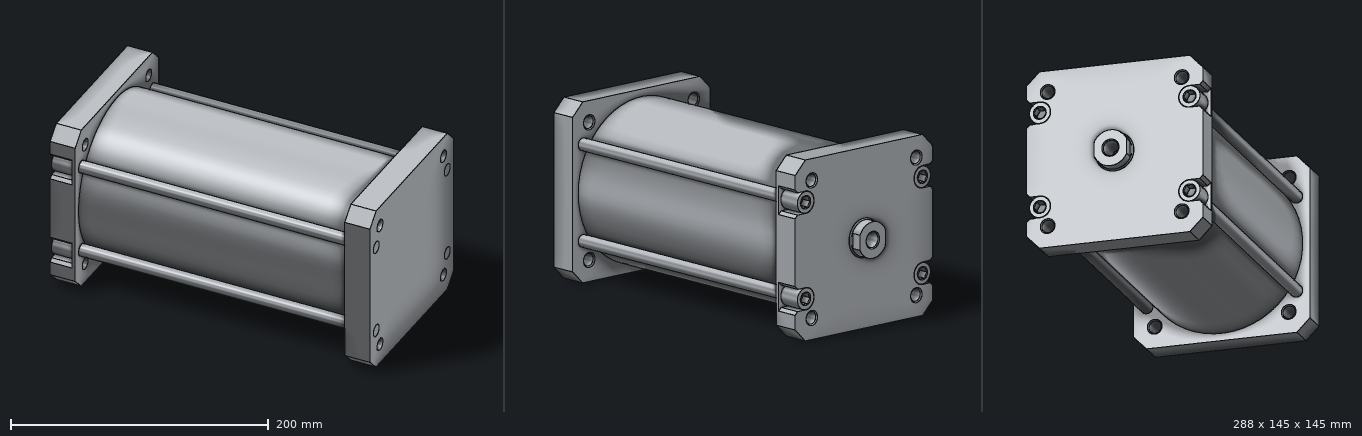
import cadquery as cq
import math

OVERALL_LENGTH = 288.0
ROD_PROTRUSION = 10.0
PLATE_THICKNESS = 22.0
BARREL_LENGTH = OVERALL_LENGTH - ROD_PROTRUSION - 2 * PLATE_THICKNESS
BARREL_START = PLATE_THICKNESS
REAR_PLATE_START = BARREL_START + BARREL_LENGTH
REAR_PLATE_END = REAR_PLATE_START + PLATE_THICKNESS

PLATE_SIDE = 145.0
PLATE_CORNER_CHAMFER = 10.7
MOUNTING_HOLE_SPACING = 110.0
MOUNTING_HOLE_DIAMETER = 10.0
MOUNTING_COUNTERSINK_DIAMETER = 12.0

BARREL_DIAMETER = 133.0

TIE_ROD_SPACING_Y = 123.0
TIE_ROD_SPACING_Z = 77.2
TIE_ROD_DIAMETER = 10.0
HEAD_DIAMETER = 17.3
SLOT_WIDTH = 18.0
HEAD_LENGTH = 19.0
SOCKET_ACROSS_FLATS = 9.0
SOCKET_DEPTH = 8.5
SOCKET_COUNTERSINK_DIAMETER = 10.7
SLOT_MOUTH_CHAMFER = 2.5

PISTON_ROD_DIAMETER = 31.7
ROD_NOSE_DIAMETER = 29.5
ROD_FLATS_WIDTH = 26.8
ROD_FLATS_LENGTH = 8.0
ROD_BORE_DIAMETER = 12.5
ROD_BORE_DEPTH = 23.0
ROD_BORE_COUNTERSINK_DIAMETER = 14.0
DRILL_POINT_ANGLE = 118.0


def corner_points(spacing_y, spacing_z):
    """The four (Y, Z) corners of a centred rectangle."""
    return [(sy * spacing_y / 2, sz * spacing_z / 2) for sy in (-1, 1) for sz in (-1, 1)]


TIE_ROD_POINTS = corner_points(TIE_ROD_SPACING_Y, TIE_ROD_SPACING_Z)
MOUNTING_POINTS = corner_points(MOUNTING_HOLE_SPACING, MOUNTING_HOLE_SPACING)


def cylinder(start_x, length, diameter, y=0.0, z=0.0):
    """A cylinder along +X."""
    return cq.Workplane("YZ", origin=(start_x, y, z)).circle(diameter / 2).extrude(length)


def cone(start_x, length, start_diameter, end_diameter, y=0.0, z=0.0):
    """A cone along +X."""
    solid = cq.Solid.makeCone(
        start_diameter / 2, end_diameter / 2, length, cq.Vector(start_x, y, z), cq.Vector(1, 0, 0)
    )
    return cq.Workplane(solid)


def bevel(start_x, start_diameter, end_diameter, y=0.0, z=0.0):
    """A cone along +X with sides at 45 degrees."""
    length = abs(end_diameter - start_diameter) / 2
    return cone(start_x, length, start_diameter, end_diameter, y, z)


def end_plate(start_x):
    """Square plate with chamfered corners and four mounting holes countersunk on the -X face."""
    plate = (
        cq.Workplane("YZ", origin=(start_x, 0, 0))
        .rect(PLATE_SIDE, PLATE_SIDE)
        .extrude(PLATE_THICKNESS)
        .edges("|X")
        .chamfer(PLATE_CORNER_CHAMFER)
    )
    for y, z in MOUNTING_POINTS:
        plate = plate.cut(cylinder(start_x, PLATE_THICKNESS, MOUNTING_HOLE_DIAMETER, y, z))
        plate = plate.cut(
            bevel(start_x, MOUNTING_COUNTERSINK_DIAMETER, MOUNTING_HOLE_DIAMETER, y, z)
        )
    return plate


def head_slot(y, z):
    """Round-ended slot for a tie rod head, open at the nearer Y side with a flared mouth."""
    side = math.copysign(1, y)
    edge_y = side * PLATE_SIDE / 2
    flare_y = edge_y - side * SLOT_MOUTH_CHAMFER
    half_width = SLOT_WIDTH / 2
    half_mouth = half_width + SLOT_MOUTH_CHAMFER
    return (
        cq.Workplane("YZ")
        .moveTo(y, z + half_width)
        .lineTo(flare_y, z + half_width)
        .lineTo(edge_y, z + half_mouth)
        .lineTo(edge_y, z - half_mouth)
        .lineTo(flare_y, z - half_width)
        .lineTo(y, z - half_width)
        .threePointArc((y - side * half_width, z), (y, z + half_width))
        .close()
        .extrude(HEAD_LENGTH)
    )


def make_front_plate():
    """Front plate with the piston rod bore and the tie rod holes and slots."""
    plate = end_plate(0)
    plate = plate.cut(cylinder(0, PLATE_THICKNESS, PISTON_ROD_DIAMETER))
    for y, z in TIE_ROD_POINTS:
        plate = plate.cut(cylinder(0, PLATE_THICKNESS, TIE_ROD_DIAMETER, y, z))
        plate = plate.cut(head_slot(y, z))
    return plate


def make_rear_plate():
    """Rear plate with through holes for the tie rods."""
    plate = end_plate(REAR_PLATE_START)
    for y, z in TIE_ROD_POINTS:
        plate = plate.cut(cylinder(REAR_PLATE_START, PLATE_THICKNESS, TIE_ROD_DIAMETER, y, z))
    return plate


def make_barrel():
    """Cylinder barrel between the end plates."""
    return cylinder(BARREL_START, BARREL_LENGTH, BARREL_DIAMETER)


def make_tie_rod(y, z):
    """Long screw with a hexagon socket in its head, which is flush with the front plate."""
    head = cylinder(0, HEAD_LENGTH, HEAD_DIAMETER, y, z)
    shank = cylinder(HEAD_LENGTH, REAR_PLATE_END - HEAD_LENGTH, TIE_ROD_DIAMETER, y, z)
    across_corners = SOCKET_ACROSS_FLATS / math.cos(math.pi / 6)
    socket = cq.Workplane("YZ", origin=(0, y, z)).polygon(6, across_corners).extrude(SOCKET_DEPTH)
    countersink = bevel(0, SOCKET_COUNTERSINK_DIAMETER, SOCKET_ACROSS_FLATS, y, z)
    return head.union(shank).cut(socket).cut(countersink)


def rod_flat(side):
    """Material cut away beside one wrench flat, with a 45 degree run-out at the front plate."""
    flat_y = side * ROD_FLATS_WIDTH / 2
    outer_y = side * PISTON_ROD_DIAMETER / 2
    flat_end = ROD_FLATS_LENGTH - ROD_PROTRUSION
    runout_y = flat_y - side * flat_end
    return (
        cq.Workplane("XY")
        .moveTo(-ROD_PROTRUSION, flat_y)
        .lineTo(flat_end, flat_y)
        .lineTo(0, runout_y)
        .lineTo(0, outer_y)
        .lineTo(-ROD_PROTRUSION, outer_y)
        .close()
        .extrude(PISTON_ROD_DIAMETER, both=True)
    )


def make_piston_rod():
    """Piston rod with a bevelled step, two wrench flats and a drilled bore in its free end."""
    step_length = (PISTON_ROD_DIAMETER - ROD_NOSE_DIAMETER) / 2
    rod = (
        cylinder(0, PLATE_THICKNESS, PISTON_ROD_DIAMETER)
        .union(bevel(-step_length, ROD_NOSE_DIAMETER, PISTON_ROD_DIAMETER))
        .union(cylinder(-ROD_PROTRUSION, ROD_PROTRUSION - step_length, ROD_NOSE_DIAMETER))
    )
    for side in (-1, 1):
        rod = rod.cut(rod_flat(side))
    point_length = ROD_BORE_DIAMETER / 2 / math.tan(math.radians(DRILL_POINT_ANGLE / 2))
    return (
        rod.cut(cylinder(-ROD_PROTRUSION, ROD_BORE_DEPTH, ROD_BORE_DIAMETER))
        .cut(cone(ROD_BORE_DEPTH - ROD_PROTRUSION, point_length, ROD_BORE_DIAMETER, 0))
        .cut(bevel(-ROD_PROTRUSION, ROD_BORE_COUNTERSINK_DIAMETER, ROD_BORE_DIAMETER))
    )


front_plate = make_front_plate()
rear_plate = make_rear_plate()
barrel = make_barrel()
piston_rod = make_piston_rod()
tie_rods = [make_tie_rod(y, z) for y, z in TIE_ROD_POINTS]

result = cq.Compound.makeCompound(
    [
        front_plate.val(),
        rear_plate.val(),
        barrel.val(),
        piston_rod.val(),
        *[tie_rod.val() for tie_rod in tie_rods],
    ]
)